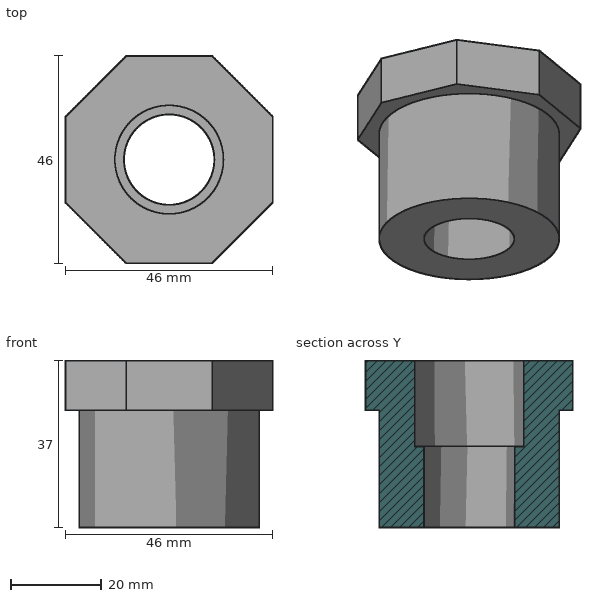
import cadquery as cq

head_across_flats = 46.0
head_height = 11.0
octagon_sides = 8

spigot_diameter = 40.0
total_height = 37.0
spigot_height = total_height - head_height

socket_diameter = 24.1
socket_depth = 19.0
passage_diameter = 20.0


def make_spigot():
    return cq.Workplane("XY").circle(spigot_diameter / 2).extrude(spigot_height)


def make_head():
    """Octagonal prism with flats facing the X and Y axes."""
    return (
        cq.Workplane("XY")
        .workplane(offset=spigot_height)
        .polygon(octagon_sides, head_across_flats, circumscribed=True)
        .extrude(head_height)
    )


def make_bore():
    passage = cq.Workplane("XY").circle(passage_diameter / 2).extrude(total_height)
    socket = (
        cq.Workplane("XY")
        .workplane(offset=total_height - socket_depth)
        .circle(socket_diameter / 2)
        .extrude(socket_depth)
    )
    return passage.union(socket)


result = make_spigot().union(make_head()).cut(make_bore())